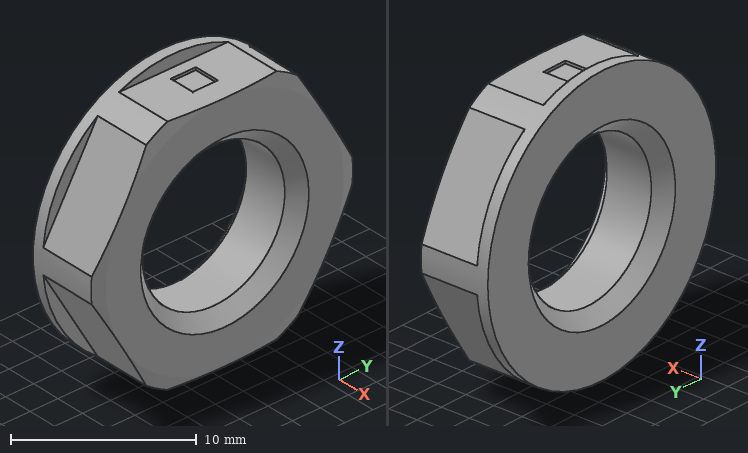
import cadquery as cq
import math

outer_diameter = 18.7
total_length = 5.0
flange_length = 0.8
across_flats = 17.0
hex_end_chamfer_angle = 15.0

bore_diameter = 10.17
countersink_diameter = 12.0

pocket_size = 1.8
pocket_depth = 0.19
pocket_center_x = total_length / 2

outer_radius = outer_diameter / 2
flat_distance = across_flats / 2
bore_radius = bore_diameter / 2
countersink_radius = countersink_diameter / 2
countersink_depth = countersink_radius - bore_radius


def revolve_about_x(profile):
    """Turn a closed (x, radius) profile about the X axis."""
    return cq.Workplane("XY").polyline(profile).close().revolve(360, (0, 0, 0), (1, 0, 0))


def make_turned_blank():
    """Ring with 45 degree countersinks at both bore ends and a conical outer chamfer at +X."""
    chamfer_height = outer_radius - flat_distance
    chamfer_length = chamfer_height * math.tan(math.radians(hex_end_chamfer_angle))
    return revolve_about_x([
        (0, countersink_radius),
        (0, outer_radius),
        (total_length - chamfer_length, outer_radius),
        (total_length, flat_distance),
        (total_length, countersink_radius),
        (total_length - countersink_depth, bore_radius),
        (countersink_depth, bore_radius),
    ])


def make_hex_envelope():
    """Full-round flange zone followed by a hexagonal prism with flats facing +Z and -Z."""
    corner_diameter = across_flats / math.cos(math.pi / 6)
    flange = cq.Workplane("YZ").circle(outer_radius).extrude(flange_length)
    hexagon = cq.Workplane("YZ").polygon(6, corner_diameter).extrude(total_length)
    return flange.union(hexagon)


def make_marking_pocket():
    """Shallow square recess in the +Z flat."""
    return (
        cq.Workplane("XY", origin=(pocket_center_x, 0, flat_distance))
        .rect(pocket_size, pocket_size)
        .extrude(-pocket_depth)
    )


result = make_turned_blank().intersect(make_hex_envelope()).cut(make_marking_pocket())